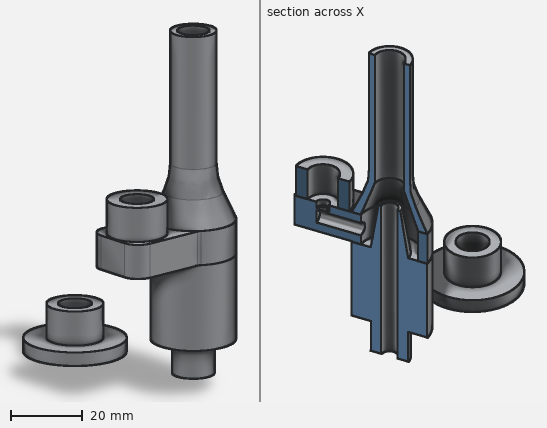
import cadquery as cq

BODY_DIAMETER = 24.0
WATER_BORE_DIAMETER = 5.0
CHAMBER_DIAMETER = 18.0
STEP_HEIGHT = 10.0

SPIGOT_BOTTOM = 5.0
BODY_BOTTOM = SPIGOT_BOTTOM + STEP_HEIGHT
BODY_HEIGHT = 25.0
BRACKET_BOTTOM = BODY_BOTTOM + BODY_HEIGHT
BRACKET_TOP = BRACKET_BOTTOM + STEP_HEIGHT
TOTAL_HEIGHT = 105

SPIGOT_DIAMETER = 12.0
JET_TIP_DIAMETER = 7.0
JET_HEIGHT = 15.0

BRACKET_WIDTH = 20
BRACKET_REACH = 30.0
BRACKET_CORNER_RADIUS = 5.0
BRACKET_BLEND_RADIUS = 2.2
PORT_OFFSET = 21
PORT_DIAMETER = 4.0
PORT_DEPTH = 2.0
DROP_DIAMETER = 2.4
CHANNEL_DIAMETER = 4.0

HOSE_BORE_DIAMETER = 9.5
BOSS_DIAMETER = 17.0
FLANGE_DIAMETER = 29.0
FLANGE_THICKNESS = 4.0
FLANGE_NECK_DIAMETER = 16.0
FLANGE_OFFSET = 50.0

TUBE_DIAMETER = 13.0
TUBE_BORE_DIAMETER = 9.0
CONE_HEIGHT = 12.0
CONE_BLEND_RADIUS = 20


def cylinder(diameter, bottom, height):
    """A cylinder standing on the ejector axis."""
    return cq.Workplane("XY").workplane(offset=bottom).circle(diameter / 2).extrude(height)


def make_jet_body():
    """Thick cylinder with a spigot below, a tapered jet above and a water bore through all."""
    outline = (
        cq.Workplane("XZ")
        .moveTo(WATER_BORE_DIAMETER / 2, SPIGOT_BOTTOM)
        .lineTo(SPIGOT_DIAMETER / 2, SPIGOT_BOTTOM)
        .lineTo(SPIGOT_DIAMETER / 2, BODY_BOTTOM)
        .lineTo(BODY_DIAMETER / 2, BODY_BOTTOM)
        .lineTo(BODY_DIAMETER / 2, BRACKET_BOTTOM)
        .lineTo(SPIGOT_DIAMETER / 2, BRACKET_BOTTOM)
        .lineTo(JET_TIP_DIAMETER / 2, BRACKET_BOTTOM + JET_HEIGHT)
        .lineTo(WATER_BORE_DIAMETER / 2, BRACKET_BOTTOM + JET_HEIGHT)
        .close()
    )
    return outline.revolve(360, (0, 0, 0), (0, 1, 0))


def make_bracket():
    """Ring around the suction chamber with an arm that carries the suction port."""
    ring = cylinder(BODY_DIAMETER, BRACKET_BOTTOM, STEP_HEIGHT)
    arm = (
        cq.Workplane("XY")
        .workplane(offset=BRACKET_BOTTOM)
        .center(0, -BRACKET_REACH / 2)
        .rect(BRACKET_WIDTH, BRACKET_REACH)
        .extrude(STEP_HEIGHT)
        .edges("|Z and <Y")
        .fillet(BRACKET_CORNER_RADIUS)
    )
    bracket = ring.union(arm)

    crossing = ((BODY_DIAMETER / 2) ** 2 - (BRACKET_WIDTH / 2) ** 2) ** 0.5
    for side in (-1, 1):
        corner = (side * BRACKET_WIDTH / 2, -crossing, BRACKET_BOTTOM + STEP_HEIGHT / 2)
        bracket = bracket.edges(cq.selectors.NearestToPointSelector(corner)).fillet(BRACKET_BLEND_RADIUS)

    channel_height = BRACKET_BOTTOM + STEP_HEIGHT / 2
    chamber = cylinder(CHAMBER_DIAMETER, BRACKET_BOTTOM, STEP_HEIGHT)
    port = cylinder(PORT_DIAMETER, BRACKET_TOP - PORT_DEPTH, PORT_DEPTH)
    drop = cylinder(DROP_DIAMETER, channel_height, BRACKET_TOP - channel_height)
    channel = (
        cq.Workplane("XZ")
        .center(0, channel_height)
        .circle(CHANNEL_DIAMETER / 2)
        .extrude(PORT_OFFSET + PORT_DIAMETER / 2)
    )
    stepped_port = port.union(drop).translate((0, -PORT_OFFSET, 0))
    return bracket.cut(chamber).cut(stepped_port).cut(channel)


def make_port_boss():
    """Short tube standing on the bracket around the suction port."""
    boss = cylinder(BOSS_DIAMETER, BRACKET_TOP, STEP_HEIGHT)
    return boss.cut(cylinder(HOSE_BORE_DIAMETER, BRACKET_TOP, STEP_HEIGHT)).translate((0, -PORT_OFFSET, 0))


def cone_with_tube(cone_diameter, tube_diameter):
    """Solid cone on top of the bracket that narrows into a straight tube up to the outlet."""
    cone_top = BRACKET_TOP + CONE_HEIGHT
    outline = (
        cq.Workplane("XZ")
        .moveTo(0, BRACKET_TOP)
        .lineTo(cone_diameter / 2, BRACKET_TOP)
        .lineTo(tube_diameter / 2, cone_top)
        .lineTo(tube_diameter / 2, TOTAL_HEIGHT)
        .lineTo(0, TOTAL_HEIGHT)
        .close()
    )
    return outline.revolve(360, (0, 0, 0), (0, 1, 0))


def make_diffuser():
    """Outlet tube whose lower end widens through a blended cone to the full body diameter."""
    outer = cone_with_tube(BODY_DIAMETER, TUBE_DIAMETER)
    outer = outer.edges("%CIRCLE and (not >Z) and (not <Z)").fillet(CONE_BLEND_RADIUS)
    return outer.cut(cone_with_tube(CHAMBER_DIAMETER, TUBE_BORE_DIAMETER))


def make_flange():
    """Loose flange with a neck and a through bore, standing beside the ejector."""
    flange = cylinder(FLANGE_DIAMETER, 0, FLANGE_THICKNESS)
    flange_height = FLANGE_THICKNESS + STEP_HEIGHT
    flange = flange.union(cylinder(FLANGE_NECK_DIAMETER, 0, flange_height))
    return flange.cut(cylinder(HOSE_BORE_DIAMETER, 0, flange_height)).translate((-FLANGE_OFFSET, 0, 0))


jet_body = make_jet_body()
bracket = make_bracket()
port_boss = make_port_boss()
diffuser = make_diffuser()
flange = make_flange()

result = cq.Compound.makeCompound(
    [jet_body.val(), bracket.val(), port_boss.val(), diffuser.val(), flange.val()]
)